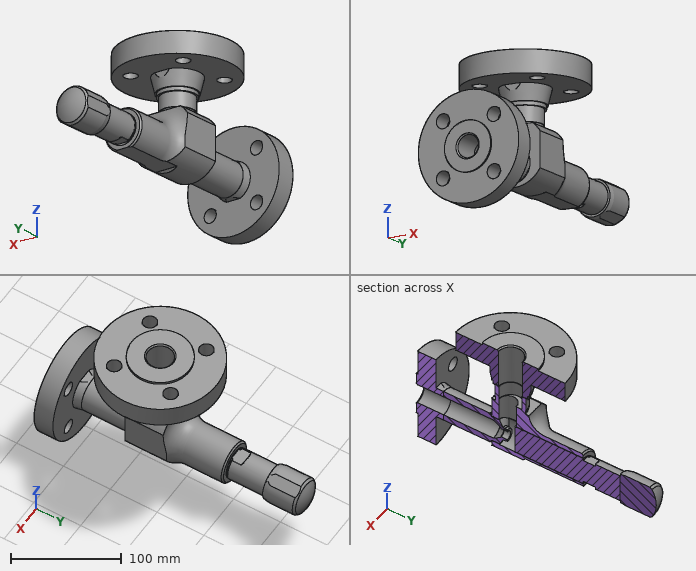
import cadquery as cq
import math


INLET_FACE_Y = -103.0
INLET_RAISED_FACE = 1.5
INLET_FLANGE_THICKNESS = 20.3
INLET_HUB_LENGTH = 8.5
BODY_HALF_LENGTH = 20.5
INLET_NECK_LENGTH = 1.5
TUBE_END_Y = 80.0
CAP_BASE_Y = 120.5
CAP_TOP_Y = INLET_FACE_Y + 263

OUTLET_FACE_Z = 100.0
OUTLET_RAISED_FACE = 2.4
OUTLET_FLANGE_THICKNESS = 22.4
OUTLET_CONE_LENGTH = 15.8
OUTLET_COLLAR_LENGTH = 3.7
BODY_TOP_Z = 37.0
OUTLET_NECK_LENGTH = 3.7

INLET_FLANGE_RADIUS = 52.5
INLET_RAISED_RADIUS = 24.2
INLET_BOLT_CIRCLE_RADIUS = 37.5
INLET_HUB_RADIUS = 19.5
INLET_BORE_RADIUS = 10.8

OUTLET_FLANGE_RADIUS = 60.0
OUTLET_RAISED_RADIUS = 30.8
OUTLET_BOLT_CIRCLE_RADIUS = 42.5
OUTLET_HUB_RADIUS = 24.5
OUTLET_CONE_END_RADIUS = 20.5
OUTLET_COLLAR_RADIUS = 19.2
OUTLET_HUB_FLAT = 23.0
OUTLET_BORE_RADIUS = 13.0

BOLT_COUNT = 4
BOLT_HOLE_DIAMETER = 14.0
BORE_CHAMFER = 1.3

PIPE_RADIUS = 18.0
INLET_NECK_RADIUS = 16.8
PLUG_END_Y = -11.8
NOZZLE_TIP_Y = -3.2
NOZZLE_TIP_RADIUS = 7.0
NOZZLE_TIP_LENGTH = 2.4
NOZZLE_COLLAR_RADIUS = 8.0
NOZZLE_COLLAR_LENGTH = 2.4
SEAT_RADIUS = 4.7
THROAT_RADIUS = 5.8
THROAT_CONE_START_Y = -18.5
THROAT_CONE_END_Y = -10.5

BODY_HALF_WIDTH = 27.4
BODY_TURNED_RADIUS = 42.0
BODY_BAR_RADIUS = 32.3
BODY_BAR_Z = 11.3
TUBE_RADIUS = 21.0
TUBE_CHAMFER = 1.5
TUBE_BLEND_RADIUS = 16.8
TUBE_FLAT_Z = -18.7
TUBE_FLAT_END_Y = 16.3
CHAMBER_RADIUS = 15.3
OUTLET_PIPE_RADIUS = 17.4
OUTLET_NECK_RADIUS = 16.5
OUTLET_PIPE_BORE_RADIUS = 12.4
OUTLET_PORT_RADIUS = 9.2
OUTLET_PORT_Y = -3.0

BONNET_RADIUS = 15.5
BONNET_STEM_END_Y = 4.7
BONNET_GROOVE_RADIUS = 14.5
BONNET_GROOVE_LENGTH = 1.5
BONNET_FLAT = 13.2
BONNET_FLAT_LENGTH = 13.2
BONNET_FLAT_END_RADIUS = 22.5

CAP_RADIUS = 18.7
CAP_BASE_RADIUS = 17.5
CAP_BASE_TAPER_LENGTH = 5.5
CAP_FLAT_WIDTH = 11.5
CAP_FLAT_COUNT = 3
CAP_FLAT_FIRST_ANGLE = 60
CAP_DOME_RADIUS = 16.8
CAP_DOME_HEIGHT = 4.7
CAP_SHOULDER_LENGTH = 2.4

bolt_hole_radius = BOLT_HOLE_DIAMETER / 2
inlet_hub_start_y = INLET_FACE_Y + INLET_RAISED_FACE + INLET_FLANGE_THICKNESS
inlet_hub_end_y = inlet_hub_start_y + INLET_HUB_LENGTH
outlet_hub_top_z = OUTLET_FACE_Z - OUTLET_RAISED_FACE - OUTLET_FLANGE_THICKNESS
outlet_cone_end_z = outlet_hub_top_z - OUTLET_CONE_LENGTH
outlet_pipe_end_z = outlet_cone_end_z - OUTLET_COLLAR_LENGTH


def turned_about_y(points):
    """Revolve a closed outline of (radius, y) points about the Y axis."""
    return cq.Workplane("XY").polyline(points).close().revolve(360, (0, 0), (0, 1))


def turned_about_z(points):
    """Revolve a closed outline of (radius, z) points about the Z axis."""
    return cq.Workplane("XZ").polyline(points).close().revolve(360, (0, 0), (0, 1))


def cylinder_y(radius, start_y, end_y, x=0, z=0):
    return cq.Workplane("XZ", origin=(x, start_y, z)).circle(radius).extrude(start_y - end_y)


def cylinder_z(radius, start_z, end_z, x=0, y=0):
    return cq.Workplane("XY", origin=(x, y, start_z)).circle(radius).extrude(end_z - start_z)


def box_between(low, high):
    """Axis-aligned box given by two opposite corners."""
    size = [b - a for a, b in zip(low, high)]
    return cq.Workplane("XY").box(*size, centered=False).translate(low)


def bolt_positions(circle_radius):
    """Bolt centres on the circle, straddling the main axes."""
    step = 2 * math.pi / BOLT_COUNT
    angles = [step * (i + 0.5) for i in range(BOLT_COUNT)]
    return [(circle_radius * math.cos(a), circle_radius * math.sin(a)) for a in angles]


def make_inlet_flange():
    raised_base_y = INLET_FACE_Y + INLET_RAISED_FACE
    flange = turned_about_y([
        (INLET_BORE_RADIUS + BORE_CHAMFER, INLET_FACE_Y),
        (INLET_RAISED_RADIUS, INLET_FACE_Y),
        (INLET_RAISED_RADIUS, raised_base_y),
        (INLET_FLANGE_RADIUS, raised_base_y),
        (INLET_FLANGE_RADIUS, inlet_hub_start_y),
        (INLET_HUB_RADIUS, inlet_hub_start_y),
        (PIPE_RADIUS, inlet_hub_end_y),
        (INLET_BORE_RADIUS, inlet_hub_end_y),
        (INLET_BORE_RADIUS, INLET_FACE_Y + BORE_CHAMFER),
    ])
    for x, z in bolt_positions(INLET_BOLT_CIRCLE_RADIUS):
        flange = flange.cut(cylinder_y(bolt_hole_radius, INLET_FACE_Y, inlet_hub_start_y, x, z))
    waste = box_between(
        (-INLET_HUB_RADIUS, inlet_hub_start_y, PIPE_RADIUS),
        (INLET_HUB_RADIUS, inlet_hub_end_y, INLET_HUB_RADIUS),
    )
    return flange.cut(waste).cut(waste.mirror("XY"))


def make_inlet_body():
    """Inlet pipe with a plug in the valve body and the nozzle standing in the chamber."""
    neck_start_y = -BODY_HALF_LENGTH - INLET_NECK_LENGTH
    nozzle_collar_y = NOZZLE_TIP_Y - NOZZLE_TIP_LENGTH
    nozzle_foot_y = nozzle_collar_y - NOZZLE_COLLAR_LENGTH
    return turned_about_y([
        (INLET_BORE_RADIUS, inlet_hub_end_y),
        (PIPE_RADIUS, inlet_hub_end_y),
        (PIPE_RADIUS, neck_start_y),
        (INLET_NECK_RADIUS, neck_start_y),
        (INLET_NECK_RADIUS, -BODY_HALF_LENGTH),
        (CHAMBER_RADIUS, -BODY_HALF_LENGTH),
        (CHAMBER_RADIUS, PLUG_END_Y),
        (NOZZLE_COLLAR_RADIUS, nozzle_foot_y),
        (NOZZLE_COLLAR_RADIUS, nozzle_collar_y),
        (NOZZLE_TIP_RADIUS, NOZZLE_TIP_Y),
        (SEAT_RADIUS, NOZZLE_TIP_Y),
        (SEAT_RADIUS, THROAT_CONE_END_Y),
        (THROAT_RADIUS, THROAT_CONE_END_Y),
        (INLET_BORE_RADIUS, THROAT_CONE_START_Y),
    ])


def make_outlet_flange():
    raised_base_z = OUTLET_FACE_Z - OUTLET_RAISED_FACE
    flange = turned_about_z([
        (OUTLET_BORE_RADIUS + BORE_CHAMFER, OUTLET_FACE_Z),
        (OUTLET_RAISED_RADIUS, OUTLET_FACE_Z),
        (OUTLET_RAISED_RADIUS, raised_base_z),
        (OUTLET_FLANGE_RADIUS, raised_base_z),
        (OUTLET_FLANGE_RADIUS, outlet_hub_top_z),
        (OUTLET_HUB_RADIUS, outlet_hub_top_z),
        (OUTLET_CONE_END_RADIUS, outlet_cone_end_z),
        (OUTLET_COLLAR_RADIUS, outlet_cone_end_z),
        (OUTLET_COLLAR_RADIUS, outlet_pipe_end_z),
        (OUTLET_BORE_RADIUS, outlet_pipe_end_z),
        (OUTLET_BORE_RADIUS, OUTLET_FACE_Z - BORE_CHAMFER),
    ])
    for x, y in bolt_positions(OUTLET_BOLT_CIRCLE_RADIUS):
        flange = flange.cut(cylinder_z(bolt_hole_radius, outlet_hub_top_z, OUTLET_FACE_Z, x, y))
    waste = box_between(
        (-OUTLET_HUB_RADIUS, OUTLET_HUB_FLAT, outlet_cone_end_z),
        (OUTLET_HUB_RADIUS, OUTLET_HUB_RADIUS, outlet_hub_top_z),
    )
    return flange.cut(waste).cut(waste.mirror("XZ"))


def make_turned_block():
    """Bonnet tube blending into the large turned diameter of the block."""
    blend_end_y = BODY_HALF_LENGTH + TUBE_BLEND_RADIUS
    blend_mid_offset = TUBE_BLEND_RADIUS * (1 - math.sqrt(0.5))
    return (
        cq.Workplane("XY")
        .moveTo(0, -BODY_HALF_LENGTH)
        .lineTo(BODY_TURNED_RADIUS, -BODY_HALF_LENGTH)
        .lineTo(BODY_TURNED_RADIUS, BODY_HALF_LENGTH)
        .lineTo(TUBE_RADIUS + TUBE_BLEND_RADIUS, BODY_HALF_LENGTH)
        .threePointArc(
            (TUBE_RADIUS + blend_mid_offset, BODY_HALF_LENGTH + blend_mid_offset),
            (TUBE_RADIUS, blend_end_y),
        )
        .lineTo(TUBE_RADIUS, TUBE_END_Y - TUBE_CHAMFER)
        .lineTo(TUBE_RADIUS - TUBE_CHAMFER, TUBE_END_Y)
        .lineTo(0, TUBE_END_Y)
        .close()
        .revolve(360, (0, 0), (0, 1))
    )


def make_block_envelope():
    """Round bar along Y, its axis above the inlet axis, with flat sides and a flat top."""
    bar = cylinder_y(BODY_BAR_RADIUS, -BODY_HALF_LENGTH, TUBE_END_Y, z=BODY_BAR_Z)
    flats = box_between(
        (-BODY_HALF_WIDTH, -BODY_HALF_LENGTH, BODY_BAR_Z - BODY_BAR_RADIUS),
        (BODY_HALF_WIDTH, TUBE_END_Y, BODY_TOP_Z),
    )
    return bar.intersect(flats)


def make_tube_flat_waste():
    """Material below the flat under the bonnet tube, ending in a 45 degree run-out."""
    depth = TUBE_RADIUS
    return (
        cq.Workplane("YZ", origin=(-BODY_HALF_WIDTH, 0, 0))
        .moveTo(TUBE_END_Y, TUBE_FLAT_Z)
        .lineTo(TUBE_FLAT_END_Y, TUBE_FLAT_Z)
        .lineTo(TUBE_FLAT_END_Y - depth, TUBE_FLAT_Z - depth)
        .lineTo(TUBE_END_Y, TUBE_FLAT_Z - depth)
        .close()
        .extrude(2 * BODY_HALF_WIDTH)
    )


def make_valve_body():
    neck_top_z = BODY_TOP_Z + OUTLET_NECK_LENGTH
    body = make_turned_block().intersect(make_block_envelope()).cut(make_tube_flat_waste())
    body = body.union(cylinder_z(OUTLET_NECK_RADIUS, BODY_TOP_Z, neck_top_z))
    body = body.union(cylinder_z(OUTLET_PIPE_RADIUS, neck_top_z, outlet_pipe_end_z))
    body = body.cut(cylinder_y(CHAMBER_RADIUS, -BODY_HALF_LENGTH, TUBE_END_Y))
    body = body.cut(cylinder_z(OUTLET_PIPE_BORE_RADIUS, neck_top_z, outlet_pipe_end_z))
    return body.cut(cylinder_z(OUTLET_PORT_RADIUS, 0, outlet_pipe_end_z, y=OUTLET_PORT_Y))


def make_bonnet():
    """Bonnet whose stem fills the body tube down to the chamber."""
    groove_end_y = TUBE_END_Y + BONNET_GROOVE_LENGTH
    bonnet = cylinder_y(CHAMBER_RADIUS, BONNET_STEM_END_Y, TUBE_END_Y)
    bonnet = bonnet.union(cylinder_y(BONNET_GROOVE_RADIUS, TUBE_END_Y, groove_end_y))
    bonnet = bonnet.union(cylinder_y(BONNET_RADIUS, groove_end_y, CAP_BASE_Y))
    flat_end_y = TUBE_END_Y + BONNET_FLAT_LENGTH
    waste = box_between(
        (-BONNET_RADIUS, TUBE_END_Y, BONNET_FLAT),
        (BONNET_RADIUS, flat_end_y, BONNET_RADIUS),
    )
    arc_end = cylinder_z(
        BONNET_FLAT_END_RADIUS, BONNET_FLAT, BONNET_RADIUS, y=flat_end_y - BONNET_FLAT_END_RADIUS
    )
    waste = waste.intersect(arc_end)
    return bonnet.cut(waste).cut(waste.mirror("XY"))


def make_cap():
    dome_start_y = CAP_TOP_Y - CAP_DOME_HEIGHT
    sphere_radius = (CAP_DOME_RADIUS**2 + CAP_DOME_HEIGHT**2) / (2 * CAP_DOME_HEIGHT)
    mid_radius = CAP_DOME_RADIUS / 2
    mid_y = CAP_TOP_Y - sphere_radius + math.sqrt(sphere_radius**2 - mid_radius**2)
    cap = (
        cq.Workplane("XY")
        .moveTo(0, CAP_BASE_Y)
        .lineTo(CAP_BASE_RADIUS, CAP_BASE_Y)
        .lineTo(CAP_RADIUS, CAP_BASE_Y + CAP_BASE_TAPER_LENGTH)
        .lineTo(CAP_RADIUS, dome_start_y - CAP_SHOULDER_LENGTH)
        .lineTo(CAP_DOME_RADIUS, dome_start_y)
        .threePointArc((mid_radius, mid_y), (0, CAP_TOP_Y))
        .close()
        .revolve(360, (0, 0), (0, 1))
    )
    flat_distance = math.sqrt(CAP_RADIUS**2 - (CAP_FLAT_WIDTH / 2) ** 2)
    waste = box_between(
        (flat_distance, CAP_BASE_Y, -CAP_RADIUS),
        (CAP_RADIUS, CAP_TOP_Y, CAP_RADIUS),
    )
    for i in range(CAP_FLAT_COUNT):
        angle = CAP_FLAT_FIRST_ANGLE + i * 360 / CAP_FLAT_COUNT
        cap = cap.cut(waste.rotate((0, 0, 0), (0, 1, 0), -angle))
    return cap


inlet_flange = make_inlet_flange()
inlet_body = make_inlet_body()
outlet_flange = make_outlet_flange()
valve_body = make_valve_body()
bonnet = make_bonnet()
cap = make_cap()

result = cq.Compound.makeCompound([
    inlet_flange.val(),
    inlet_body.val(),
    outlet_flange.val(),
    valve_body.val(),
    bonnet.val(),
    cap.val(),
])